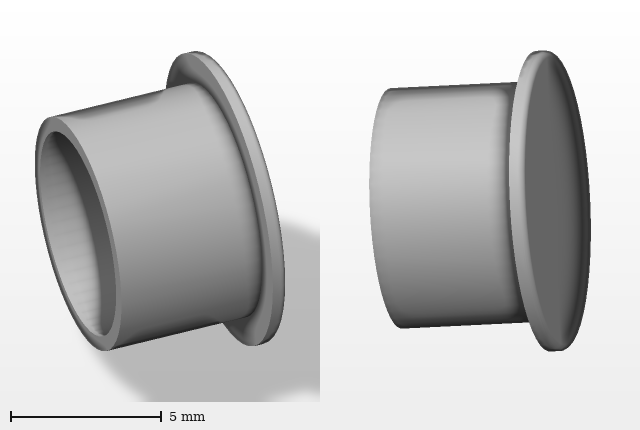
import cadquery as cq

flange_diameter = 10
flange_thickness = 0.5
flange_edge_radius = 0.2
tube_diameter = 8
tube_length = 5
wall_thickness = 0.5
bore_diameter = tube_diameter - 2 * wall_thickness
bore_depth = tube_length


def disc(diameter, start_y, length):
    """Cylinder along +Y, starting at start_y."""
    plane = cq.Plane(origin=(0, start_y, 0), xDir=(1, 0, 0), normal=(0, 1, 0))
    return cq.Workplane(plane).circle(diameter / 2).extrude(length)


flange = disc(flange_diameter, 0, flange_thickness).faces(">Y").edges().fillet(flange_edge_radius)

tube = disc(tube_diameter, -tube_length, tube_length)

bore = disc(bore_diameter, -tube_length, bore_depth)

result = flange.union(tube).cut(bore)